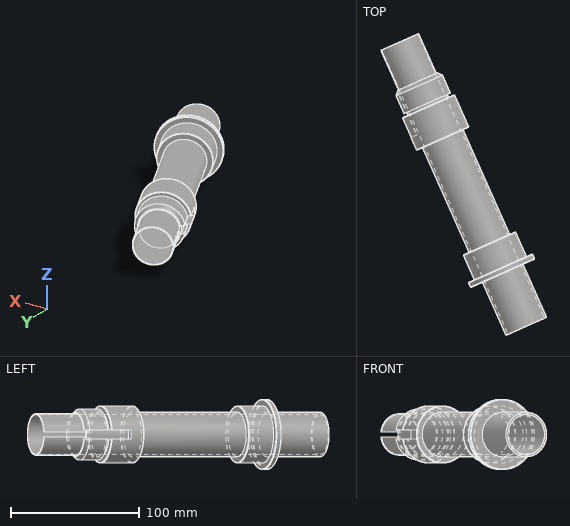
import cadquery as cq

tilt_angle = 24.0

bore_radius = 15.5
spigot_radius = 16.3
tube_radius = 17.5
shoulder_radius = 20.0
collar_radius = 22.4
flange_diameter = 55.0
flange_radius = flange_diameter / 2

shoulder_start = 34.0
shoulder_end = 52.5
front_collar_start = 55.0
front_collar_end = 82.7
rear_collar_start = 172.0
flange_start = 193.2
flange_end = 197.6
total_length = 242.9

shoulder_chamfer_length = 3.3
shoulder_chamfer_depth = 2.8
edge_break = 0.5

slit_width = 3.8
slit_end = 35.8
keyway_width = 6.8
keyway_end = 71.5


def ring(start, end, outer_radius):
    """Solid cylinder between two stations on the Z axis."""
    return cq.Workplane("XY").workplane(offset=start).circle(outer_radius).extrude(end - start)


def side_cutter(start, end, width):
    """Box on the -X side, reaching from the axis out to the largest radius."""
    return (
        cq.Workplane("XY")
        .box(flange_radius, width, end - start, centered=(False, True, False))
        .translate((-flange_radius, 0, start))
    )


def shoulder():
    """Low ring with a bevelled lead-in edge."""
    blank = ring(shoulder_start, shoulder_end, shoulder_radius)
    return blank.faces("<Z").chamfer(shoulder_chamfer_length, shoulder_chamfer_depth)


def outer_rings():
    """Shoulder, collars and flange that sit around the tube."""
    front_collar = ring(front_collar_start, front_collar_end, collar_radius)
    front_collar = front_collar.faces("<Z or >Z").chamfer(edge_break)
    rear_collar = ring(rear_collar_start, flange_start, collar_radius).faces("<Z").chamfer(edge_break)
    flange = ring(flange_start, flange_end, flange_radius).faces("<Z or >Z").chamfer(edge_break)
    return shoulder().union(front_collar).union(rear_collar).union(flange)


body = outer_rings()
body = body.cut(side_cutter(shoulder_start, keyway_end, keyway_width))
body = body.union(ring(0, slit_end, spigot_radius))
body = body.union(ring(slit_end, total_length, tube_radius))
body = body.cut(ring(0, total_length, bore_radius))
body = body.cut(side_cutter(0, slit_end, slit_width))

result = (
    body.translate((0, 0, -total_length / 2))
    .rotate((0, 0, 0), (1, 0, 0), 90)
    .rotate((0, 0, 0), (0, 0, 1), tilt_angle)
)